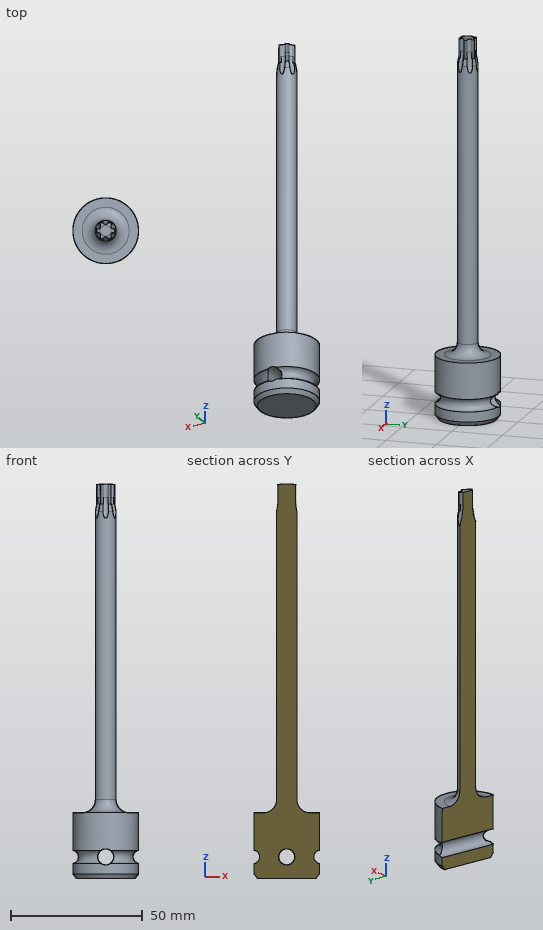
import cadquery as cq
import math

total_length = 150.0
body_diameter = 25.0
body_height = 25.0
base_chamfer_height = 1.8
base_chamfer_width = 1.4
shank_diameter = 8.0
neck_radius = 5.0

groove_height = 8.2
groove_width = 5.0
groove_depth = 2.1
pin_diameter = 6.0

lobe_count = 6
tip_diameter = 6.9
tip_root_radius = 2.4
flute_radius = 1.2
lobe_edge_fillet = 0.5
tip_straight_length = 5.1
cone_start_height = 142.4
cone_end_height = 139.5
flute_end_height = 137.0
runout_sweep_angle = 35
end_flat_radius = 2.1
end_bevel_height = 0.3

body_radius = body_diameter / 2
shank_radius = shank_diameter / 2
tip_radius = tip_diameter / 2
core_radius = tip_radius - lobe_edge_fillet
lobe_length = total_length - cone_start_height
flute_center_radius = tip_root_radius + flute_radius
straight_base_height = total_length - tip_straight_length


def make_turned_blank():
    """Revolve the body, grooved and chamfered, with its shank and stepped tip."""
    groove_bottom = groove_height - groove_width / 2
    groove_top = groove_height + groove_width / 2
    neck_offset = neck_radius * (1 - math.sqrt(0.5))
    profile = (
        cq.Workplane("XZ")
        .lineTo(body_radius - base_chamfer_width, 0)
        .lineTo(body_radius, base_chamfer_height)
        .lineTo(body_radius, groove_bottom)
        .threePointArc((body_radius - groove_depth, groove_height), (body_radius, groove_top))
        .lineTo(body_radius, body_height)
        .lineTo(shank_radius + neck_radius, body_height)
        .threePointArc(
            (shank_radius + neck_offset, body_height + neck_offset),
            (shank_radius, body_height + neck_radius),
        )
        .lineTo(shank_radius, cone_end_height)
        .lineTo(tip_radius, cone_start_height)
        .lineTo(core_radius, cone_start_height)
        .lineTo(core_radius, straight_base_height)
        .lineTo(0, straight_base_height)
        .close()
    )
    return profile.revolve(360, (0, 0, 0), (0, 1, 0))


def flute_positions(workplane):
    """Place the flute axes midway between lobes, with lobes along X."""
    half_pitch = 180 / lobe_count
    return workplane.polarArray(flute_center_radius, half_pitch, 360, lobe_count)


def make_end_bevel():
    """Make the envelope that leaves a round flat and a shallow cone on the end."""
    return (
        cq.Workplane("XZ", origin=(0, 0, cone_start_height))
        .lineTo(tip_radius, 0)
        .lineTo(tip_radius, lobe_length - end_bevel_height)
        .lineTo(end_flat_radius, lobe_length)
        .lineTo(0, lobe_length)
        .close()
        .revolve(360, (0, 0, 0), (0, 1, 0))
    )


def make_straight_tip():
    """Make the constant-section lobes with rounded edges."""
    base = cq.Workplane("XY").workplane(offset=cone_start_height)
    lobes = base.circle(tip_radius).extrude(lobe_length)
    flutes = flute_positions(base).circle(flute_radius).extrude(lobe_length)
    fluted_tip = lobes.cut(flutes).edges("|Z").fillet(lobe_edge_fillet)
    return fluted_tip.intersect(make_end_bevel())


def make_runout_flutes():
    """Make the flutes that curve outward, going down, until they leave the shank."""
    drop = straight_base_height - flute_end_height
    rise = shank_radius - tip_root_radius
    root_arc_radius = (drop**2 + rise**2) / (2 * rise)
    axis_offset = root_arc_radius - flute_radius
    cutter = (
        cq.Workplane("XY", origin=(0, 0, straight_base_height))
        .circle(flute_radius)
        .revolve(runout_sweep_angle, (axis_offset, 0, 0), (axis_offset, -1, 0))
        .val()
    )
    return flute_positions(cq.Workplane("XY")).eachpoint(cutter, combine=False)


def make_pin_hole():
    """Make the cross hole through the body along Y."""
    plane = cq.Workplane("XZ", origin=(0, 0, groove_height))
    return plane.circle(pin_diameter / 2).extrude(body_radius, both=True)


result = make_turned_blank().cut(make_runout_flutes())
result = result.union(make_straight_tip())
result = result.cut(make_pin_hole())